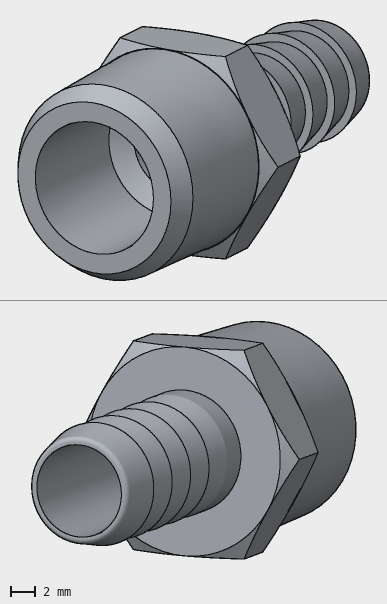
import cadquery as cq
import math

total_length = 36.0

thread_length = 11.5
thread_root_diameter = 16.9
thread_taper = 1 / 16
thread_chamfer_length = 1.75
thread_chamfer_angle = 30.0

hex_sides = 6
hex_flats = 17.0
hex_thickness = 5.0
hex_chamfer_angle = 30.0

barb_count = 5
barb_crest_diameter = 10.0
barb_root_diameter = 8.6
barb_pitch = 3.4
tip_fillet = 0.4

barb_bore_diameter = 7.5
thread_bore_diameter = 11.0
bore_step_start = thread_length
bore_cone_half_angle = 60.0

hex_end = thread_length + hex_thickness
barbs_start = total_length - barb_count * barb_pitch
hex_corners = hex_flats / math.cos(math.radians(180 / hex_sides))


def revolve_about_y(profile):
    """Full turn of a closed (radius, y) profile about the Y axis."""
    return profile.close().revolve(360, (0, 0, 0), (0, 1, 0))


def thread_body():
    root_radius = thread_root_diameter / 2
    crest_radius = root_radius - (thread_length - thread_chamfer_length) * thread_taper / 2
    end_radius = crest_radius - thread_chamfer_length * math.tan(math.radians(thread_chamfer_angle))
    return revolve_about_y(
        cq.Workplane("XY")
        .lineTo(end_radius, 0)
        .lineTo(crest_radius, thread_chamfer_length)
        .lineTo(root_radius, thread_length)
        .lineTo(0, thread_length)
    )


def hexagon():
    """Hexagonal prism with its corners on X, conically chamfered on both ends."""
    prism = (
        cq.Workplane("XZ", origin=(0, hex_end, 0))
        .polygon(hex_sides, hex_corners)
        .extrude(hex_thickness)
    )
    face_radius = hex_flats / 2
    corner_radius = hex_corners / 2
    chamfer_height = (corner_radius - face_radius) * math.tan(math.radians(hex_chamfer_angle))
    chamfer_envelope = revolve_about_y(
        cq.Workplane("XY")
        .moveTo(0, thread_length)
        .lineTo(face_radius, thread_length)
        .lineTo(corner_radius, thread_length + chamfer_height)
        .lineTo(corner_radius, hex_end - chamfer_height)
        .lineTo(face_radius, hex_end)
        .lineTo(0, hex_end)
    )
    return prism.intersect(chamfer_envelope)


def hose_barb():
    """Cylindrical neck followed by equal cones, each narrowing toward the tip."""
    crest_radius = barb_crest_diameter / 2
    root_radius = barb_root_diameter / 2
    profile = cq.Workplane("XY").moveTo(0, hex_end).lineTo(crest_radius, hex_end)
    for index in range(barb_count):
        cone_start = barbs_start + index * barb_pitch
        profile = profile.lineTo(crest_radius, cone_start)
        profile = profile.lineTo(root_radius, cone_start + barb_pitch)
    barb = revolve_about_y(profile.lineTo(0, total_length))
    return barb.faces(">Y").edges().fillet(tip_fillet)


def stepped_bore():
    """Wide bore from the threaded end, coned down to the narrow bore of the barb."""
    wide_radius = thread_bore_diameter / 2
    narrow_radius = barb_bore_diameter / 2
    cone_length = (wide_radius - narrow_radius) / math.tan(math.radians(bore_cone_half_angle))
    return revolve_about_y(
        cq.Workplane("XY")
        .lineTo(wide_radius, 0)
        .lineTo(wide_radius, bore_step_start)
        .lineTo(narrow_radius, bore_step_start + cone_length)
        .lineTo(narrow_radius, total_length)
        .lineTo(0, total_length)
    )


result = thread_body().union(hexagon()).union(hose_barb()).cut(stepped_bore())